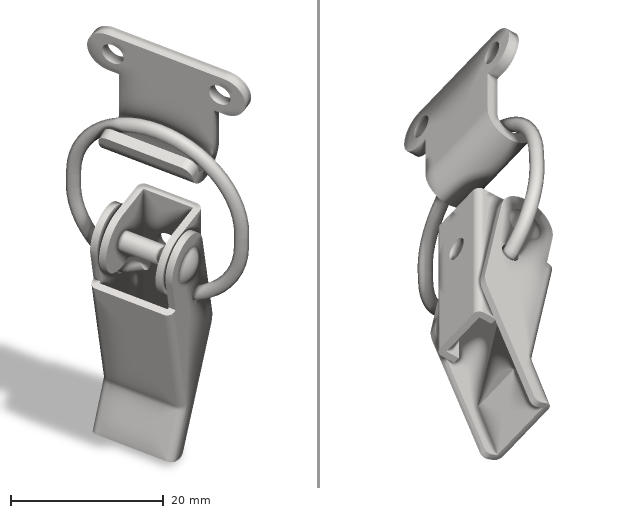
import cadquery as cq
import math


STRIKE_THICKNESS = 1.6
STRIKE_HALF_WIDTH = 7.0
STRIKE_TOP_Z = 63.75
EAR_RADIUS = 3.2
EAR_CENTRE_X = 8.6
STRIKE_HOLE_X = 8.0
SCREW_HOLE_DIAMETER = 3.25
HOOK_OUTER_RADIUS = 3.65
HOOK_BEND_Z = 50.5
HOOK_LEAN = 14.0
HOOK_TIP_LENGTH = 1.8
HOOK_CORNER_RADIUS = 1.5

WIRE_DIAMETER = 2.0
RING_HALF_WIDTH = 13.5
RING_UPPER_ARC_Z = 39.35
RING_LOWER_ARC_Z = 37.05
RING_END_ANGLE = 30.0
RING_END_BEND_RADIUS = 1.65
RING_STUB_LENGTH = 3.45
RING_LEAN = 1.6

RIVET_Y = -6.6
RIVET_Z = 33.0
RIVET_SHAFT_DIAMETER = 2.8
RIVET_HEAD_RADIUS = 2.55
RIVET_HEAD_HEIGHT = 0.95

SHEET_THICKNESS = 1.0
BASE_HALF_WIDTH = 4.7
BASE_TOP_Z = 37.6
BASE_BOTTOM_Z = 13.5
BASE_DEPTH = 3.0
BASE_HOLE_Z = 29.5
BASE_NECK_RADIUS = 1.9

LEVER_HALF_WIDTH = 6.1
LEVER_LEAN = 9.8
HANDLE_LEAN = 23.0
LOBE_Y = -6.95
LOBE_Z = 33.85
LOBE_RADIUS = 4.15
LEVER_HEEL_Z = 18.3
LEVER_HEEL_RADIUS = 3.8
PANEL_TOP_Y = -11.5
PANEL_TOP_Z = 27.65
PANEL_STEP = 1.35
PANEL_KINK_Z = 8.0
PANEL_KINK_RADIUS = 1.0
PANEL_END_Z = 0.8
HANDLE_END_WIDTH = 2.9
HANDLE_CORNER_RADIUS = 0.95
WIRE_HOLE_DIAMETER = 2.7
WIRE_HOLE_Y = -4.3
WIRE_HOLE_Z = 26.0

CUTTER_REACH = 63.75


def x_cylinder(diameter, half_length, y, z):
    """Cylinder along X, centred on X = 0."""
    plane = cq.Workplane("YZ", origin=(-half_length, y, z))
    return plane.circle(diameter / 2).extrude(2 * half_length)


def y_hole(x, z):
    """Cutter for a screw hole through a sheet lying on the mounting plane."""
    plane = cq.Workplane("XZ", origin=(x, 0, z))
    return plane.circle(SCREW_HOLE_DIAMETER / 2).extrude(CUTTER_REACH, both=True)


def make_strike():
    lean = math.radians(HOOK_LEAN)
    bend_y = -HOOK_OUTER_RADIUS
    inner_radius = HOOK_OUTER_RADIUS - STRIKE_THICKNESS

    def bend_point(radius):
        return (bend_y - radius * math.cos(lean), HOOK_BEND_Z - radius * math.sin(lean))

    def tip_point(radius):
        y, z = bend_point(radius)
        return (y - HOOK_TIP_LENGTH * math.sin(lean), z + HOOK_TIP_LENGTH * math.cos(lean))

    sheet = (
        cq.Workplane("YZ", origin=(-STRIKE_HALF_WIDTH, 0, 0))
        .moveTo(0, STRIKE_TOP_Z)
        .lineTo(0, HOOK_BEND_Z)
        .threePointArc((bend_y, HOOK_BEND_Z - HOOK_OUTER_RADIUS), bend_point(HOOK_OUTER_RADIUS))
        .lineTo(*tip_point(HOOK_OUTER_RADIUS))
        .lineTo(*tip_point(inner_radius))
        .lineTo(*bend_point(inner_radius))
        .threePointArc((bend_y, HOOK_BEND_Z - inner_radius), (-STRIKE_THICKNESS, HOOK_BEND_Z))
        .lineTo(-STRIKE_THICKNESS, STRIKE_TOP_Z)
        .close()
        .extrude(2 * STRIKE_HALF_WIDTH)
    )
    tip_y = (tip_point(HOOK_OUTER_RADIUS)[0] + tip_point(inner_radius)[0]) / 2
    tip_z = (tip_point(HOOK_OUTER_RADIUS)[1] + tip_point(inner_radius)[1]) / 2
    for x in (-STRIKE_HALF_WIDTH, STRIKE_HALF_WIDTH):
        corner = cq.selectors.NearestToPointSelector((x, tip_y, tip_z))
        sheet = sheet.edges(corner).fillet(HOOK_CORNER_RADIUS)

    ear_z = STRIKE_TOP_Z - EAR_RADIUS
    ears = (
        cq.Workplane("XZ", origin=(0, 0, ear_z))
        .slot2D(2 * (EAR_CENTRE_X + EAR_RADIUS), 2 * EAR_RADIUS)
        .extrude(STRIKE_THICKNESS)
    )
    strike = sheet.union(ears)
    for x in (-STRIKE_HOLE_X, STRIKE_HOLE_X):
        strike = strike.cut(y_hole(x, ear_z))
    return strike


def make_ring():
    radius = RING_HALF_WIDTH - WIRE_DIAMETER / 2
    end_angle = math.radians(RING_END_ANGLE)
    side_angle = (math.pi / 2 + end_angle) / 2

    def lower_arc_point(side, angle_from_bottom):
        x = side * radius * math.sin(angle_from_bottom)
        return (x, RING_LOWER_ARC_Z - radius * math.cos(angle_from_bottom))

    end_x, end_z = lower_arc_point(1, end_angle)
    bend_mid_x = end_x - RING_END_BEND_RADIUS * math.sin(end_angle)
    bend_mid_z = end_z - RING_END_BEND_RADIUS * (1 - math.cos(end_angle))
    stub_x = 2 * bend_mid_x - end_x
    tip_x = stub_x - RING_STUB_LENGTH * math.cos(end_angle)
    tip_z = end_z + RING_STUB_LENGTH * math.sin(end_angle)

    path = (
        cq.Workplane("XZ")
        .moveTo(-tip_x, tip_z)
        .lineTo(-stub_x, end_z)
        .threePointArc((-bend_mid_x, bend_mid_z), (-end_x, end_z))
        .threePointArc(lower_arc_point(-1, side_angle), (-radius, RING_LOWER_ARC_Z))
        .lineTo(-radius, RING_UPPER_ARC_Z)
        .threePointArc((0, RING_UPPER_ARC_Z + radius), (radius, RING_UPPER_ARC_Z))
        .lineTo(radius, RING_LOWER_ARC_Z)
        .threePointArc(lower_arc_point(1, side_angle), (end_x, end_z))
        .threePointArc((bend_mid_x, bend_mid_z), (stub_x, end_z))
        .lineTo(tip_x, tip_z)
    )
    stub_direction = (-math.cos(end_angle), 0, -math.sin(end_angle))
    tip_plane = cq.Plane(origin=(-tip_x, 0, tip_z), xDir=(0, 1, 0), normal=stub_direction)
    ring = cq.Workplane(tip_plane).circle(WIRE_DIAMETER / 2).sweep(path)
    pivot = (0, 0, WIRE_HOLE_Z)
    leaned = ring.rotate(pivot, (1, 0, WIRE_HOLE_Z), -RING_LEAN)
    return leaned.translate((0, WIRE_HOLE_Y, 0))


def make_rivet():
    rivet = x_cylinder(RIVET_SHAFT_DIAMETER, LEVER_HALF_WIDTH, RIVET_Y, RIVET_Z)
    half_chord = RIVET_HEAD_RADIUS * math.sqrt(0.5)
    dome_radius = (RIVET_HEAD_RADIUS**2 + RIVET_HEAD_HEIGHT**2) / (2 * RIVET_HEAD_HEIGHT)
    dome_centre_x = LEVER_HALF_WIDTH + RIVET_HEAD_HEIGHT - dome_radius
    mid_x = dome_centre_x + math.sqrt(dome_radius**2 - half_chord**2)
    head = (
        cq.Workplane("XY", origin=(0, RIVET_Y, RIVET_Z))
        .moveTo(LEVER_HALF_WIDTH, 0)
        .lineTo(LEVER_HALF_WIDTH, RIVET_HEAD_RADIUS)
        .threePointArc((mid_x, half_chord), (LEVER_HALF_WIDTH + RIVET_HEAD_HEIGHT, 0))
        .close()
        .revolve(360, (0, 0, 0), (1, 0, 0))
    )
    return rivet.union(head).union(head.mirror("YZ"))


def make_base():
    lobe_radius = BASE_TOP_Z - RIVET_Z
    neck_y = -BASE_DEPTH - BASE_NECK_RADIUS
    centre_distance = lobe_radius + BASE_NECK_RADIUS
    neck_z = RIVET_Z - math.sqrt(centre_distance**2 - (neck_y - RIVET_Y) ** 2)
    lobe_share = lobe_radius / centre_distance
    neck_start = (RIVET_Y + (neck_y - RIVET_Y) * lobe_share, RIVET_Z + (neck_z - RIVET_Z) * lobe_share)
    neck_mid_angle = (math.atan2(neck_start[1] - neck_z, neck_start[0] - neck_y)) / 2
    neck_mid = (
        neck_y + BASE_NECK_RADIUS * math.cos(neck_mid_angle),
        neck_z + BASE_NECK_RADIUS * math.sin(neck_mid_angle),
    )
    block = (
        cq.Workplane("YZ", origin=(-BASE_HALF_WIDTH, 0, 0))
        .moveTo(0, BASE_TOP_Z)
        .lineTo(RIVET_Y, BASE_TOP_Z)
        .threePointArc((RIVET_Y - lobe_radius, RIVET_Z), neck_start)
        .threePointArc(neck_mid, (-BASE_DEPTH, neck_z))
        .lineTo(-BASE_DEPTH, BASE_BOTTOM_Z)
        .lineTo(0, BASE_BOTTOM_Z)
        .close()
        .extrude(2 * BASE_HALF_WIDTH)
    )
    block = block.faces(">Y").edges("|Z").fillet(SHEET_THICKNESS)
    inner_half_width = BASE_HALF_WIDTH - SHEET_THICKNESS
    channel = cq.Workplane("XY").box(
        2 * inner_half_width, CUTTER_REACH, 2 * CUTTER_REACH, centered=(True, False, True)
    )
    channel = channel.translate((0, -SHEET_THICKNESS - CUTTER_REACH, 0))
    base = block.cut(channel).cut(y_hole(0, BASE_HOLE_Z))
    return base.cut(x_cylinder(RIVET_SHAFT_DIAMETER, BASE_HALF_WIDTH, RIVET_Y, RIVET_Z))


def make_lever():
    lean = math.radians(LEVER_LEAN)
    handle_lean = math.radians(HANDLE_LEAN)
    bisector = (handle_lean - lean) / 2
    half_turn = (handle_lean + lean) / 2
    kink_y = PANEL_TOP_Y + (PANEL_TOP_Z - PANEL_KINK_Z) * math.tan(lean)
    end_y = kink_y - (PANEL_KINK_Z - PANEL_END_Z) * math.tan(handle_lean)

    def panel_top(depth):
        return (PANEL_TOP_Y + depth * math.cos(lean), PANEL_TOP_Z + depth * math.sin(lean))

    def panel_kink(depth):
        shift = depth / math.cos(half_turn)
        return (kink_y + shift * math.cos(bisector), PANEL_KINK_Z - shift * math.sin(bisector))

    def panel_end(depth):
        return (end_y + depth * math.cos(handle_lean), PANEL_END_Z - depth * math.sin(handle_lean))

    lobe_back = (LOBE_Y + LOBE_RADIUS * math.cos(lean), LOBE_Z + LOBE_RADIUS * math.sin(lean))
    lobe_front = (LOBE_Y - LOBE_RADIUS * math.cos(lean), LOBE_Z - LOBE_RADIUS * math.sin(lean))
    lobe_top = (LOBE_Y - LOBE_RADIUS * math.sin(lean), LOBE_Z + LOBE_RADIUS * math.cos(lean))
    heel = (lobe_back[0] + (lobe_back[1] - LEVER_HEEL_Z) * math.tan(lean), LEVER_HEEL_Z)

    block = (
        cq.Workplane("YZ", origin=(-LEVER_HALF_WIDTH, 0, 0))
        .moveTo(*lobe_back)
        .threePointArc(lobe_top, lobe_front)
        .lineTo(*panel_top(PANEL_STEP))
        .lineTo(*panel_top(0))
        .lineTo(*panel_kink(0))
        .lineTo(*panel_end(0))
        .lineTo(*panel_end(HANDLE_END_WIDTH))
        .lineTo(*heel)
        .close()
        .extrude(2 * LEVER_HALF_WIDTH)
    )

    def round_cross_edge(solid, point, radius):
        edge = cq.selectors.NearestToPointSelector((0, *point))
        return solid.edges("|X").edges(edge).fillet(radius)

    block = round_cross_edge(block, panel_kink(0), PANEL_KINK_RADIUS)
    block = round_cross_edge(block, panel_end(HANDLE_END_WIDTH), HANDLE_CORNER_RADIUS)
    block = round_cross_edge(block, heel, LEVER_HEEL_RADIUS)

    upper_middle = ((PANEL_TOP_Y + kink_y) / 2, (PANEL_TOP_Z + PANEL_KINK_Z) / 2)
    for x in (-LEVER_HALF_WIDTH, LEVER_HALF_WIDTH):
        edge = cq.selectors.NearestToPointSelector((x, *upper_middle))
        block = block.edges(edge).fillet(SHEET_THICKNESS)

    inner_half_width = LEVER_HALF_WIDTH - SHEET_THICKNESS
    bottom = panel_end(SHEET_THICKNESS)
    below_handle = (
        bottom[0] - CUTTER_REACH * math.sin(handle_lean),
        bottom[1] - CUTTER_REACH * math.cos(handle_lean),
    )
    inside = (
        cq.Workplane("YZ", origin=(-inner_half_width, 0, 0))
        .moveTo(*panel_top(-SHEET_THICKNESS))
        .lineTo(*panel_top(SHEET_THICKNESS))
        .lineTo(*panel_kink(SHEET_THICKNESS))
        .lineTo(*bottom)
        .lineTo(*below_handle)
        .lineTo(CUTTER_REACH, -CUTTER_REACH)
        .lineTo(CUTTER_REACH, CUTTER_REACH)
        .lineTo(-CUTTER_REACH, CUTTER_REACH)
        .close()
        .extrude(2 * inner_half_width)
    )
    lever = block.cut(inside)
    lever = lever.cut(x_cylinder(RIVET_SHAFT_DIAMETER, LEVER_HALF_WIDTH, RIVET_Y, RIVET_Z))
    return lever.cut(x_cylinder(WIRE_HOLE_DIAMETER, LEVER_HALF_WIDTH, WIRE_HOLE_Y, WIRE_HOLE_Z))


strike = make_strike()
ring = make_ring()
rivet = make_rivet()
base = make_base()
lever = make_lever()

bodies = [strike, ring, rivet, base, lever]
result = cq.Compound.makeCompound([body.solids().val() for body in bodies])